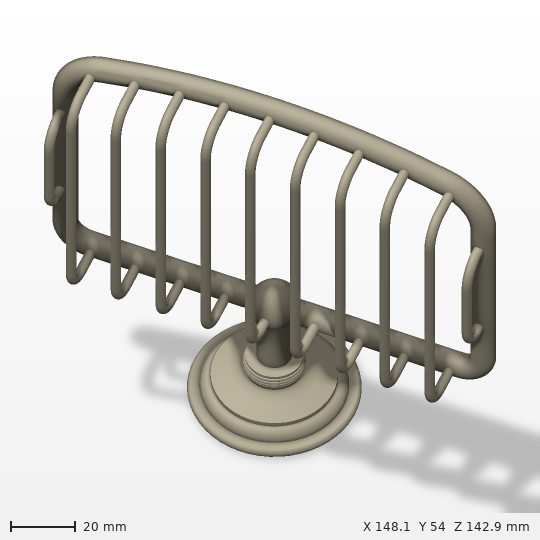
import cadquery as cq
import math

frame_width = 148.1
frame_tube_d = 8.0
frame_tube_r = frame_tube_d / 2
half_span = frame_width / 2 - frame_tube_r
overall_height = 142.9
frame_top_z = overall_height - frame_tube_r
frame_bottom_z = 43.0
bend_r = 8.0
shoulder_r = 17.0
shoulder_start_z = 114.9

wire_d = 3.3
wire_count = 9
wire_outer_x = 60.1
wire_reach = 19.1
handle_reach = 13.0
handle_bottom_z = 70.2
handle_top_z = 108.2

ball_r = 8.0
stem_r = 5.5
flange_d = 54.0
flange_r = flange_d / 2
flange_height = 3.0
flange_edge_bulge = 0.9
dome_r = 23.1
dome_height = 3.9
step_r = 19.7
step_height = 1.6
cone_height = 3.1
collar_r = 9.0
collar_height = 6.4
collar_crown = 0.5
collar_rim_height = 1.0
collar_bead_count = 4
collar_bead_bulge = 0.3

step_z = flange_height + dome_height
cone_z = step_z + step_height
collar_z = cone_z + cone_height
collar_top_z = collar_z + collar_height
beads_start_z = collar_z + collar_rim_height
beads_height = collar_height - 2 * collar_rim_height

shoulder_x = half_span - shoulder_r
arch_drop = frame_top_z - shoulder_start_z
arch_r = (shoulder_x**2 + arch_drop**2 - shoulder_r**2) / (2 * (arch_drop - shoulder_r))
arch_center_z = frame_top_z - arch_r
shoulder_angle = math.atan2(shoulder_start_z - arch_center_z, shoulder_x)


def polar(center_x, center_z, radius, angle):
    return (center_x + radius * math.cos(angle), center_z + radius * math.sin(angle))


def mirrored(point):
    """The matching point on the other side of the middle plane."""
    return (-point[0], point[1])


def arch_height(x):
    """Height of the frame's top centreline at a distance x from the middle."""
    if abs(x) > arch_r * math.cos(shoulder_angle):
        return shoulder_start_z + math.sqrt(shoulder_r**2 - (abs(x) - shoulder_x) ** 2)
    return arch_center_z + math.sqrt(arch_r**2 - x**2)


def make_frame():
    """The closed tube loop, swept from the middle of its bottom rail."""
    shoulder_mid = polar(shoulder_x, shoulder_start_z, shoulder_r, shoulder_angle / 2)
    shoulder_end = polar(shoulder_x, shoulder_start_z, shoulder_r, shoulder_angle)
    bend_x = half_span - bend_r
    bend_z = frame_bottom_z + bend_r
    bend_mid = polar(bend_x, bend_z, bend_r, -math.pi / 4)
    path = (
        cq.Workplane("XZ")
        .moveTo(0, frame_bottom_z)
        .lineTo(bend_x, frame_bottom_z)
        .threePointArc(bend_mid, (half_span, bend_z))
        .lineTo(half_span, shoulder_start_z)
        .threePointArc(shoulder_mid, shoulder_end)
        .threePointArc((0, frame_top_z), mirrored(shoulder_end))
        .threePointArc(mirrored(shoulder_mid), (-half_span, shoulder_start_z))
        .lineTo(-half_span, bend_z)
        .threePointArc(mirrored(bend_mid), (-bend_x, frame_bottom_z))
        .close()
    )
    return cq.Workplane("YZ").center(0, frame_bottom_z).circle(frame_tube_r).sweep(path)


def make_wire(x, bottom_z, top_z, reach):
    """A wire leaving the frame forward, bending up and returning to the frame."""
    straight_y = bend_r - reach
    bend_mid_y = straight_y - bend_r * math.sin(math.pi / 4)
    bend_mid_rise = bend_r * (1 - math.cos(math.pi / 4))
    path = (
        cq.Workplane("YZ", origin=(x, 0, 0))
        .moveTo(0, bottom_z)
        .lineTo(straight_y, bottom_z)
        .threePointArc((bend_mid_y, bottom_z + bend_mid_rise), (-reach, bottom_z + bend_r))
        .lineTo(-reach, top_z - bend_r)
        .threePointArc((bend_mid_y, top_z - bend_mid_rise), (straight_y, top_z))
        .lineTo(0, top_z)
    )
    return cq.Workplane("XZ").center(x, bottom_z).circle(wire_d / 2).sweep(path)


def crowned_collar_r(z):
    """Collar radius in the valleys between its beads, largest halfway up."""
    offset = 2 * (z - beads_start_z) / beads_height - 1
    return collar_r + collar_crown * (1 - offset**2)


def make_stand():
    """The round stand: flange, dome, cone, beaded collar and stem, with a ball gripping the frame."""
    flange_face_r = flange_r - flange_edge_bulge
    dome_mid_r = step_r + (dome_r - step_r) * math.cos(math.pi / 4)
    dome_mid_z = flange_height + dome_height * math.sin(math.pi / 4)
    profile = (
        cq.Workplane("XZ")
        .lineTo(flange_face_r, 0)
        .threePointArc((flange_r, flange_height / 2), (flange_face_r, flange_height))
        .lineTo(dome_r, flange_height)
        .threePointArc((dome_mid_r, dome_mid_z), (step_r, step_z))
        .lineTo(step_r, cone_z)
        .lineTo(collar_r, collar_z)
        .lineTo(collar_r, beads_start_z)
    )

    bead_height = beads_height / collar_bead_count
    for bead in range(collar_bead_count):
        bead_top_z = beads_start_z + (bead + 1) * bead_height
        bead_mid_z = bead_top_z - bead_height / 2
        bead_mid_r = crowned_collar_r(bead_mid_z) + collar_bead_bulge
        bead_top = (crowned_collar_r(bead_top_z), bead_top_z)
        profile = profile.threePointArc((bead_mid_r, bead_mid_z), bead_top)

    profile = (
        profile.lineTo(collar_r, collar_top_z)
        .lineTo(stem_r, collar_top_z)
        .lineTo(stem_r, frame_bottom_z)
        .lineTo(0, frame_bottom_z)
        .close()
    )
    stand = profile.revolve(360, (0, 0, 0), (0, 1, 0))
    ball = cq.Workplane("XY", origin=(0, 0, frame_bottom_z)).sphere(ball_r)
    return stand.union(ball)


result = make_frame().union(make_stand())

wire_pitch = 2 * wire_outer_x / (wire_count - 1)
for index in range(wire_count):
    wire_x = index * wire_pitch - wire_outer_x
    result = result.union(make_wire(wire_x, frame_bottom_z, arch_height(wire_x), wire_reach))

for handle_x in (-half_span, half_span):
    result = result.union(make_wire(handle_x, handle_bottom_z, handle_top_z, handle_reach))